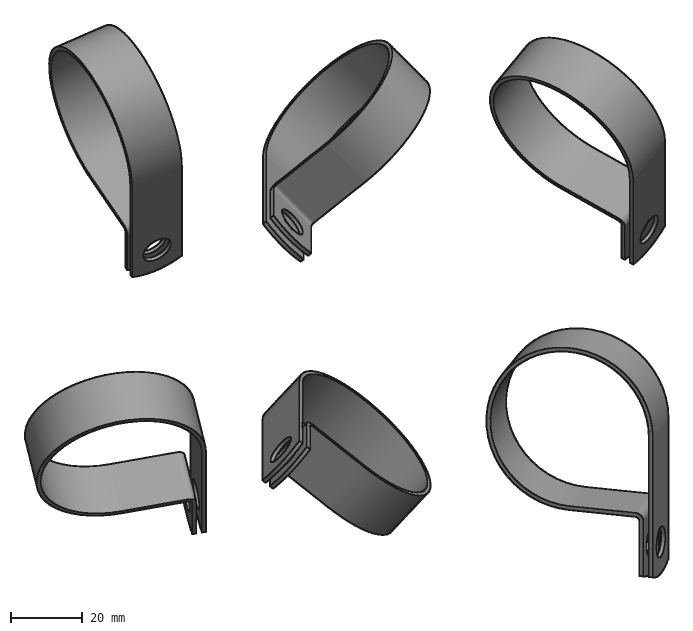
import cadquery as cq
import math

strap_width = 15.85
thickness = 1.2
total_height = 67.8
loop_diameter = 48.5
leg_gap = 1.55
bend_radius = 2.3
hole_diameter = 8.8
hole_height = 9.5
tip_sag = 1.75

outer_radius = loop_diameter / 2
inner_radius = outer_radius - thickness
loop_z = total_height - outer_radius
short_leg_outer_x = inner_radius - leg_gap
short_leg_inner_x = short_leg_outer_x - thickness
bend_x = short_leg_outer_x - bend_radius
flat_top_z = loop_z - inner_radius
flat_bottom_z = loop_z - outer_radius
bend_z = flat_top_z - bend_radius
inner_bend_radius = bend_radius - thickness
diagonal = math.sqrt(0.5)


def bent_strap():
    """Side profile of the strap, extruded across its width."""
    profile = (
        cq.Workplane("XZ")
        .moveTo(outer_radius, 0)
        .lineTo(outer_radius, loop_z)
        .threePointArc(
            (-outer_radius * diagonal, loop_z + outer_radius * diagonal),
            (0, flat_bottom_z),
        )
        .lineTo(bend_x, flat_bottom_z)
        .threePointArc(
            (bend_x + inner_bend_radius * diagonal, bend_z + inner_bend_radius * diagonal),
            (short_leg_inner_x, bend_z),
        )
        .lineTo(short_leg_inner_x, 0)
        .lineTo(short_leg_outer_x, 0)
        .lineTo(short_leg_outer_x, bend_z)
        .threePointArc(
            (bend_x + bend_radius * diagonal, bend_z + bend_radius * diagonal),
            (bend_x, flat_top_z),
        )
        .lineTo(0, flat_top_z)
        .threePointArc(
            (-inner_radius * diagonal, loop_z + inner_radius * diagonal),
            (inner_radius, loop_z),
        )
        .lineTo(inner_radius, 0)
        .close()
    )
    return profile.extrude(strap_width / 2, both=True)


def rounded_tip_envelope():
    """Block with an arched underside that rounds off both leg tips."""
    half_width = strap_width / 2
    return (
        cq.Workplane("YZ")
        .moveTo(-half_width, total_height)
        .lineTo(-half_width, tip_sag)
        .threePointArc((0, 0), (half_width, tip_sag))
        .lineTo(half_width, total_height)
        .close()
        .extrude(outer_radius, both=True)
    )


def bolt_hole():
    """Drill running along X through both legs."""
    return (
        cq.Workplane("YZ")
        .center(0, hole_height)
        .circle(hole_diameter / 2)
        .extrude(outer_radius)
    )


result = bent_strap().intersect(rounded_tip_envelope()).cut(bolt_hole())